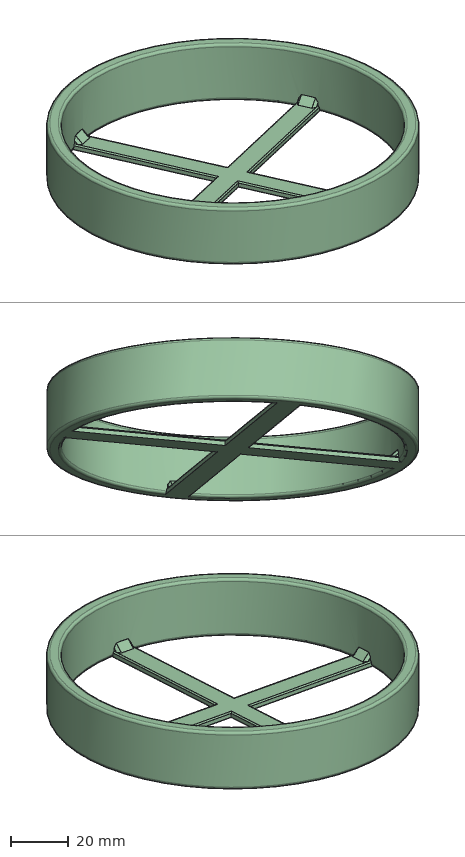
import cadquery as cq

outer_diameter = 128.5
inner_diameter = 118.5
height = 22.0
edge_radius = 1.0

bar_width = 8.5
bar_thickness = 2.0
bar_chamfer = 0.5

wedge_length = 2.8
wedge_height = 2.8
wedge_width = bar_width - 2 * bar_chamfer
wedge_side_chamfer = 1.0

outer_radius = outer_diameter / 2
inner_radius = inner_diameter / 2
embedded_radius = (outer_radius + inner_radius) / 2


def make_ring():
    """Plain ring with all four circular edges rounded."""
    ring = cq.Workplane("XY").circle(outer_radius).circle(inner_radius).extrude(height)
    return ring.faces("<Z or >Z").edges().fillet(edge_radius)


def make_cross():
    """Two perpendicular bars with chamfered top edges."""
    length = 2 * embedded_radius
    bar_x = cq.Workplane("XY").box(length, bar_width, bar_thickness, centered=(True, True, False))
    bar_y = bar_x.rotate((0, 0, 0), (0, 0, 1), 90)
    return bar_x.union(bar_y).faces(">Z").edges().chamfer(bar_chamfer)


def make_wedge():
    """Ramp rising toward the wall at the +X end, its sloping side edges chamfered."""
    toe = inner_radius - wedge_length
    top = bar_thickness + wedge_height
    ramp = (
        cq.Workplane("XZ")
        .moveTo(toe, bar_thickness)
        .lineTo(inner_radius, top)
        .lineTo(embedded_radius, top)
        .lineTo(embedded_radius, bar_thickness)
        .close()
        .extrude(wedge_width / 2, both=True)
    )
    slope_side_edges = ramp.faces("<X").edges("not |Y")
    return slope_side_edges.chamfer(wedge_side_chamfer)


result = make_ring().union(make_cross())
wedge = make_wedge()
for quarter_turn in range(4):
    result = result.union(wedge.rotate((0, 0, 0), (0, 0, 1), 90 * quarter_turn))